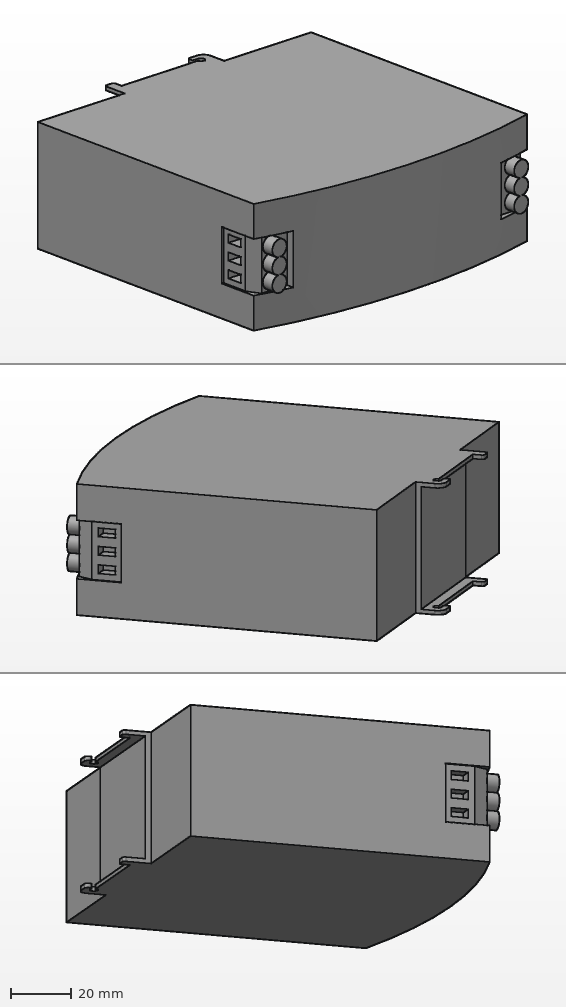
import cadquery as cq
import math

width = 124.0
height = 45.0
side_length = 105.4
front_bow = 7.8

foot_width = 45.1
plate_thickness = 1.5
pad_height = 2.0
foot_reach = 9.8
rail_edge = 6.0
leg_width = 4.2
leg_round = 0.9
hook_round = 3.1
hook_drop = 7.7
lip_width = 2.5
notch_drop = 5.0

terminal_start = 89.8
terminal_end = 105.6
terminal_height = 20.1
recess_depth = 14.9
terminal_setback = 0.9
bevel_length = 5.2
bevel_depth = 2.5
pole_pitch = 6.3
pole_count = 3
wire_opening_start = 92.1
wire_opening_length = 6.0
wire_opening_height = 3.0
wire_opening_depth = 5.0
screw_diameter = 6.5
screw_inset = 7.2
screw_end = 110.2

half_width = width / 2
pole_heights = [(pole - (pole_count - 1) / 2) * pole_pitch for pole in range(pole_count)]


def make_case():
    return (
        cq.Workplane("XY")
        .workplane(offset=-height / 2)
        .moveTo(0, -half_width)
        .lineTo(side_length, -half_width)
        .threePointArc((side_length + front_bow, 0), (side_length, half_width))
        .lineTo(0, half_width)
        .close()
        .extrude(height)
    )


def make_foot_plate(bottom):
    """Plate with a rounded hook on the +Y end and a short leg on the -Y end."""
    top_y = foot_width / 2
    lip_end = top_y - hook_drop
    lip_inner = -foot_reach + lip_width
    notch_y = top_y - notch_drop
    notch_radius = -rail_edge - lip_inner
    notch_far = notch_radius * math.sqrt(0.5)
    leg_top = -top_y + leg_width
    plate = (
        cq.Workplane("XY")
        .workplane(offset=bottom)
        .moveTo(0, -top_y)
        .lineTo(-foot_reach, -top_y)
        .lineTo(-foot_reach, leg_top)
        .lineTo(-rail_edge, leg_top)
        .lineTo(-rail_edge, notch_y - notch_radius)
        .threePointArc((-rail_edge + notch_far, notch_y + notch_far), (lip_inner, notch_y))
        .lineTo(lip_inner, lip_end + lip_width / 2)
        .threePointArc(
            (-foot_reach + lip_width / 2, lip_end),
            (-foot_reach, lip_end + lip_width / 2),
        )
        .lineTo(-foot_reach, top_y)
        .lineTo(0, top_y)
        .close()
        .extrude(plate_thickness)
    )
    corners = ((top_y, hook_round), (leg_top, leg_round), (-top_y, leg_round))
    for corner_y, radius in corners:
        corner = (-foot_reach, corner_y, bottom + plate_thickness / 2)
        plate = plate.edges(cq.selectors.NearestToPointSelector(corner)).fillet(radius)
    return plate


def make_foot():
    pad = cq.Workplane("XY").box(pad_height, foot_width, height, centered=(False, True, True))
    foot = pad.translate((-pad_height, 0, 0))
    for bottom in (-height / 2, height / 2 - plate_thickness):
        foot = foot.union(make_foot_plate(bottom))
    return foot


def make_recess():
    """Cutter for the -Y recess, open to the side and to the bowed front."""
    length = side_length + front_bow - terminal_start
    recess = cq.Workplane("XY").box(length, recess_depth, terminal_height, centered=(False, False, True))
    return recess.translate((terminal_start, -half_width, 0))


def make_terminal():
    """Terminal block of the -Y recess: bevelled body, wire openings and screws."""
    outer_y = -half_width + terminal_setback
    inner_y = -half_width + recess_depth
    terminal = (
        cq.Workplane("XY")
        .workplane(offset=-terminal_height / 2)
        .moveTo(terminal_start, inner_y)
        .lineTo(terminal_start, outer_y)
        .lineTo(terminal_end - bevel_length, outer_y)
        .lineTo(terminal_end, outer_y + bevel_depth)
        .lineTo(terminal_end, inner_y)
        .close()
        .extrude(terminal_height)
    )
    opening = cq.Workplane("XY").box(
        wire_opening_length, wire_opening_depth, wire_opening_height, centered=(False, False, True)
    )
    screw = cq.Workplane("YZ").circle(screw_diameter / 2).extrude(screw_end - terminal_end)
    for pole_z in pole_heights:
        terminal = terminal.cut(opening.translate((wire_opening_start, outer_y, pole_z)))
        terminal = terminal.union(screw.translate((terminal_end, -half_width + screw_inset, pole_z)))
    return terminal


def make_housing():
    """Case with its rail foot; the +Y terminal block is moulded in one with it."""
    near_recess = make_recess()
    housing = make_case().union(make_foot())
    housing = housing.cut(near_recess).cut(near_recess.mirror("XZ"))
    return housing.union(make_terminal().mirror("XZ"))


housing = make_housing()
terminal = make_terminal()

result = cq.Compound.makeCompound([housing.val(), terminal.val()])